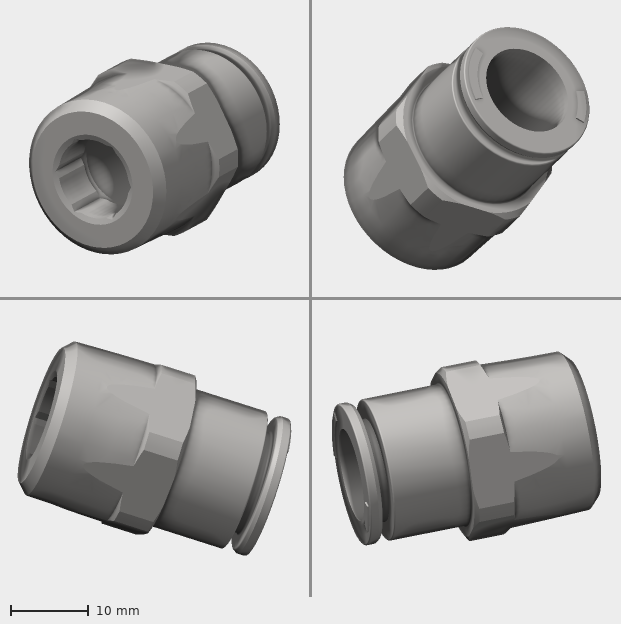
import cadquery as cq
import math

TOTAL_LENGTH = 30.95

THREAD_END_RADIUS = 10.37
THREAD_CHAMFER = 1.25
THREAD_TAPER = 1 / 32

HEX_FLATS = 21.0
HEX_CORNER_DIAMETER = 23.0
HEX_CORNER_RADIUS = HEX_CORNER_DIAMETER / 2
HEX_START = 11.82
HEX_END = 17.33
HEX_CHAMFER_ANGLE = 30

BARREL_RADIUS = 9.25
BARREL_END = 27.58
BARREL_FILLET = 0.2

SOCKET_FLATS = 9.9
SOCKET_BORE_RADIUS = 5.3
SOCKET_MOUTH_RADIUS = 6.05
SOCKET_MOUTH_ANGLE = 20
SOCKET_END = 6.35

INNER_BORE_RADIUS = 5.75

TUBE_RADIUS = 6.05
TUBE_STOP = 7.8
RING_SEAT = HEX_END
NECK_RADIUS = 6.75
NECK_FILLET = 0.3
FLANGE_RADIUS = BARREL_RADIUS
FLANGE_START = 29.0
FLANGE_CHAMFER_START = 29.6
FLANGE_CHAMFER_ANGLE = 57
FLANGE_INNER_FILLET = 0.28
FLANGE_OUTER_FILLET = 0.2

PAD_HEIGHT = 0.22
PAD_INNER_RADIUS = 7.43
PAD_OUTER_RADIUS = 8.6
RIGHT_PAD_HALF_ANGLE = 27
LEFT_PAD_HALF_ANGLE = 16

FLANGE_END = TOTAL_LENGTH - PAD_HEIGHT


def revolved(profile):
    """Turn a closed (radius, y) profile about the Y axis."""
    return profile.close().revolve(360, (0, 0, 0), (0, 1, 0))


def hexagon(flats, start, end):
    """Hexagon prism along Y with two corners on the X axis."""
    corner_diameter = flats / math.cos(math.radians(30))
    return cq.Workplane("XZ", origin=(0, start, 0)).polygon(6, corner_diameter).extrude(start - end)


def body_outside():
    """Thread taper, hexagon and barrel; the flats also cut into the wide end of the taper."""
    taper_end_radius = THREAD_END_RADIUS + (HEX_START - THREAD_CHAMFER) * THREAD_TAPER
    hex_chamfer = (HEX_CORNER_RADIUS - taper_end_radius) * math.tan(math.radians(HEX_CHAMFER_ANGLE))
    turned = revolved(
        cq.Workplane("XY")
        .moveTo(0, 0)
        .lineTo(THREAD_END_RADIUS - THREAD_CHAMFER, 0)
        .lineTo(THREAD_END_RADIUS, THREAD_CHAMFER)
        .lineTo(taper_end_radius, HEX_START)
        .lineTo(HEX_CORNER_RADIUS, HEX_START + hex_chamfer)
        .lineTo(HEX_CORNER_RADIUS, HEX_END - hex_chamfer)
        .lineTo(taper_end_radius, HEX_END)
        .lineTo(BARREL_RADIUS + BARREL_FILLET, HEX_END)
        .radiusArc((BARREL_RADIUS, HEX_END + BARREL_FILLET), BARREL_FILLET)
        .lineTo(BARREL_RADIUS, BARREL_END - BARREL_FILLET)
        .radiusArc((BARREL_RADIUS - BARREL_FILLET, BARREL_END), -BARREL_FILLET)
        .lineTo(0, BARREL_END)
    )
    return turned.intersect(hexagon(HEX_FLATS, 0, BARREL_END))


def body_cavity():
    """Cone-mouthed hexagon socket, stepped tube bore and the seat of the release ring."""
    mouth_width = SOCKET_MOUTH_RADIUS - SOCKET_BORE_RADIUS
    mouth_depth = mouth_width * math.tan(math.radians(SOCKET_MOUTH_ANGLE))
    bore = revolved(
        cq.Workplane("XY")
        .moveTo(0, 0)
        .lineTo(SOCKET_MOUTH_RADIUS, 0)
        .lineTo(SOCKET_BORE_RADIUS, mouth_depth)
        .lineTo(SOCKET_BORE_RADIUS, SOCKET_END)
        .lineTo(INNER_BORE_RADIUS, SOCKET_END)
        .lineTo(INNER_BORE_RADIUS, TUBE_STOP)
        .lineTo(TUBE_RADIUS, TUBE_STOP)
        .lineTo(TUBE_RADIUS, RING_SEAT)
        .lineTo(NECK_RADIUS, RING_SEAT)
        .lineTo(NECK_RADIUS, BARREL_END)
        .lineTo(0, BARREL_END)
    )
    return bore.union(hexagon(SOCKET_FLATS, 0, SOCKET_END))


def make_body():
    return body_outside().cut(body_cavity()).solids()


def raised_pad(middle_angle, half_angle):
    """Ring sector standing on the flange face, centred on an angle about Y."""
    pad = (
        cq.Workplane("XY")
        .moveTo(PAD_INNER_RADIUS, FLANGE_END)
        .lineTo(PAD_OUTER_RADIUS, FLANGE_END)
        .lineTo(PAD_OUTER_RADIUS, TOTAL_LENGTH)
        .lineTo(PAD_INNER_RADIUS, TOTAL_LENGTH)
        .close()
        .revolve(2 * half_angle, (0, 0, 0), (0, 1, 0))
    )
    return pad.rotate((0, 0, 0), (0, 1, 0), middle_angle - half_angle)


def make_release_ring():
    """Sleeve around the tube bore, with a rounded flange and raised pads outside the body."""
    angle = math.radians(FLANGE_CHAMFER_ANGLE)
    blend_width = FLANGE_INNER_FILLET * math.sin(angle)
    blend_height = FLANGE_INNER_FILLET * (1 - math.cos(angle))
    chamfer_height = FLANGE_CHAMFER_START - FLANGE_START - blend_height
    blend_radius = FLANGE_RADIUS - chamfer_height / math.tan(angle)
    ring = revolved(
        cq.Workplane("XY")
        .moveTo(TUBE_RADIUS, RING_SEAT)
        .lineTo(NECK_RADIUS, RING_SEAT)
        .lineTo(NECK_RADIUS, FLANGE_START - NECK_FILLET)
        .radiusArc((NECK_RADIUS + NECK_FILLET, FLANGE_START), NECK_FILLET)
        .lineTo(blend_radius - blend_width, FLANGE_START)
        .radiusArc((blend_radius, FLANGE_START + blend_height), -FLANGE_INNER_FILLET)
        .lineTo(FLANGE_RADIUS, FLANGE_CHAMFER_START)
        .lineTo(FLANGE_RADIUS, FLANGE_END - FLANGE_OUTER_FILLET)
        .radiusArc((FLANGE_RADIUS - FLANGE_OUTER_FILLET, FLANGE_END), -FLANGE_OUTER_FILLET)
        .lineTo(TUBE_RADIUS, FLANGE_END)
    )
    ring = ring.union(raised_pad(0, RIGHT_PAD_HALF_ANGLE))
    return ring.union(raised_pad(180, LEFT_PAD_HALF_ANGLE)).solids()


body = make_body()
release_ring = make_release_ring()

result = cq.Compound.makeCompound([body.val(), release_ring.val()])